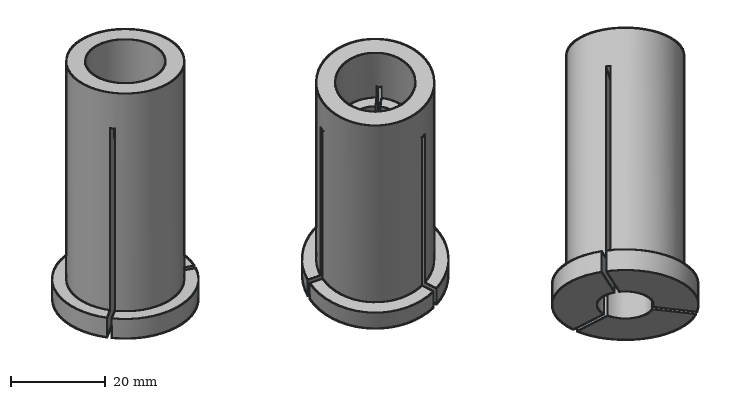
import math
import cadquery as cq

total_height = 60.0
flange_diameter = 31.0
flange_height = 5.0
sleeve_diameter = 25.0

wide_bore_diameter = 17.0
narrow_bore_diameter = 12.0
bore_step_height = 46.0

slot_count = 3
slot_width = 1.0
slot_height = 51.0
slot_end_slope = 22.5
first_slot_angle = 90.0


def make_body():
    """Round sleeve standing on a wider flange."""
    flange = cq.Workplane("XY").circle(flange_diameter / 2).extrude(flange_height)
    sleeve = cq.Workplane("XY").circle(sleeve_diameter / 2).extrude(total_height)
    return flange.union(sleeve)


def make_bore():
    """Through bore that widens above the step."""
    narrow = cq.Workplane("XY").circle(narrow_bore_diameter / 2).extrude(total_height)
    wide = (
        cq.Workplane("XY")
        .workplane(offset=bore_step_height)
        .circle(wide_bore_diameter / 2)
        .extrude(total_height - bore_step_height)
    )
    return narrow.union(wide)


def make_slot(angle):
    """Radial slot open at the bottom, with an upper end that falls towards the axis."""
    sleeve_radius = sleeve_diameter / 2
    height_at_axis = slot_height - sleeve_radius * math.tan(math.radians(slot_end_slope))
    reach = flange_diameter / 2 + slot_width
    profile = [
        (0, 0),
        (reach, 0),
        (reach, slot_height),
        (sleeve_radius, slot_height),
        (0, height_at_axis),
    ]
    return (
        cq.Workplane("XZ")
        .polyline(profile)
        .close()
        .extrude(slot_width / 2, both=True)
        .rotate((0, 0, 0), (0, 0, 1), angle)
    )


result = make_body().cut(make_bore())
for index in range(slot_count):
    slot_angle = first_slot_angle + index * 360 / slot_count
    result = result.cut(make_slot(slot_angle))